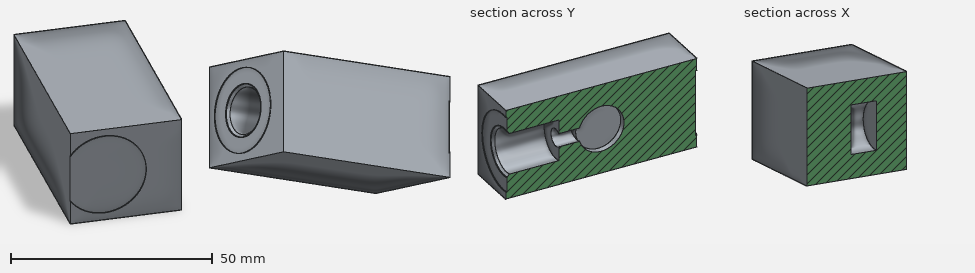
import math

import cadquery as cq

length = 53.98
width = 28.575
height = 25.4
left_face = -length / 2
right_face = length / 2
front_face = -width / 2

port_y = 1.5875
spotface_diameter = 21.5
spotface_depth = 0.25
mouth_diameter = 13.5
mouth_depth = 0.15
chamfer_diameter = 13.2
bore_diameter = 11.9
bore_depth = 15.0
passage_diameter = 4.85

gallery_diameter = 12.7
gallery_x = 0.0

recess_diameter = spotface_diameter
recess_depth = 0.25
recess_opening = 12.5
recess_center_to_front = math.sqrt(recess_diameter**2 - recess_opening**2) / 2
recess_y = front_face + recess_center_to_front


def cylinder_along_x(diameter, start_x, end_x, y):
    return (
        cq.Workplane("YZ", origin=(start_x, y, 0))
        .circle(diameter / 2)
        .extrude(end_x - start_x)
    )


def make_port():
    """Spotface, shallow mouth step, 45 degree chamfer and bore, turned about the port axis."""
    spotface_floor = left_face + spotface_depth
    mouth_floor = spotface_floor + mouth_depth
    chamfer_end = mouth_floor + (chamfer_diameter - bore_diameter) / 2
    bore_end = left_face + bore_depth
    profile = [
        (left_face, 0),
        (left_face, spotface_diameter / 2),
        (spotface_floor, spotface_diameter / 2),
        (spotface_floor, mouth_diameter / 2),
        (mouth_floor, mouth_diameter / 2),
        (mouth_floor, chamfer_diameter / 2),
        (chamfer_end, bore_diameter / 2),
        (bore_end, bore_diameter / 2),
        (bore_end, 0),
    ]
    return (
        cq.Workplane("XY", origin=(0, port_y, 0))
        .polyline(profile)
        .close()
        .revolve(360, (0, 0, 0), (1, 0, 0))
    )


def gallery_cylinder(start_y, end_y):
    return (
        cq.Workplane("XZ", origin=(gallery_x, end_y, 0))
        .circle(gallery_diameter / 2)
        .extrude(end_y - start_y)
    )


def make_passage():
    """Passage from the bore floor up to the near wall of the gallery cylinder."""
    drilled = cylinder_along_x(passage_diameter, left_face + bore_depth, gallery_x, port_y)
    return drilled.cut(gallery_cylinder(front_face, -front_face))


def make_gallery():
    """Blind gallery between the port axis and the recess axis."""
    return gallery_cylinder(recess_y, port_y)


def make_recess():
    return cylinder_along_x(recess_diameter, right_face - recess_depth, right_face, recess_y)


result = (
    cq.Workplane("XY")
    .box(length, width, height)
    .cut(make_port())
    .cut(make_passage())
    .cut(make_gallery())
    .cut(make_recess())
)